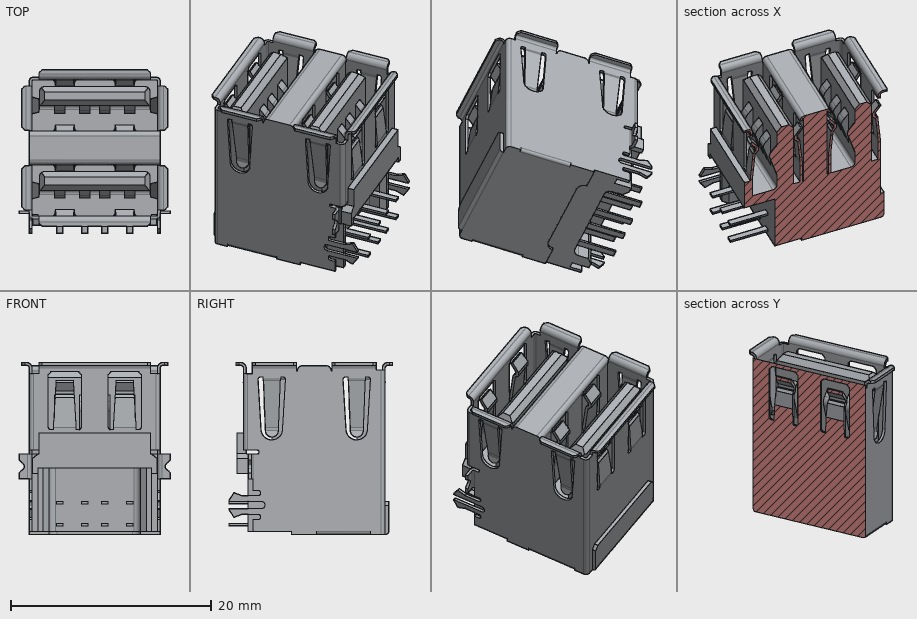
import cadquery as cq

SHEET = 0.3
HALF_WIDTH = 6.55
DEPTH = 14.15
HEIGHT = 17.2
CORNER_RADIUS = 0.43
PORT_PITCH = 8.48
INNER_HALF = HALF_WIDTH - SHEET

FLANGE_REACH = 0.74
FLANGE_RADIUS = 0.58
FLANGE_CHAMFER = 0.33
FLANGE_HALF_LENGTH = 5.57
WALL_TOP = HEIGHT - FLANGE_RADIUS
SIDE_FLANGE_FRONT = 0.88
SIDE_FLANGE_REAR = 13.28
FRONT_CORNER_TOP = 16.08
REAR_CORNER_TOP = 16.45

DIVIDER_FRONT = DEPTH - SHEET - PORT_PITCH
DIVIDER_REAR = SHEET + PORT_PITCH
DIVIDER_TOP = 16.87
DIVIDER_RADIUS = 0.52
RELIEF_GAP = 0.07
RELIEF_BOTTOM = 16.34

FRONT_WALL_BOTTOM = 8.43
SIDE_EDGE = 0.96
SLIT_END = 1.55
SLIT_RADIUS = 0.15
SLIT_BOTTOM = 8.07
BASE_FRONT = 4.78
BASE_CUT_HALF = 4.55
BASE_CUT_RADIUS = 0.77
BASE_CUT_DEPTH = 0.79
BASE_BEND = (7.31, 12.68)

TAB_HALF = 5.57
TAB_HEIGHT = 3.32
TAB_THICKNESS = 0.38
TAB_CHAMFER = 0.43
TAB_BEND_RADIUS = 0.36

EAR_BOTTOM = 5.55
EAR_TIP = 7.55
EAR_RADIUS = 0.45
EAR_NOTCH_HALF = 0.64
EAR_NOTCH_FLOOR = 0.2
EAR_NOTCH_DEPTH = 0.52
EAR_NOTCH_BULGE = 0.07

FORK_Z = 2.95
FORK_SLOT_HALF = 0.36
FORK_SLOT_END = 2.15
FORK_SLOT_RADIUS = 0.35
FORK_ARM_OUTER = 0.93
FORK_BARB_OUTER = 1.24
FORK_TIP_OUTER = 0.46
FORK_BARB_START = -0.1
FORK_BARB_PEAK = -0.95
NOTCH_HEIGHT = 0.52
NOTCH_END = 1.7
NOTCH_RADIUS = 0.2

FLOOR = SLIT_BOTTOM
BODY_FRONT = 0.45
CHEEK_OUTER = 5.68
CHEEK_INNER = 5.16
CHEEK_STEP = 2.24
RECESS_HALF = 4.55
RECESS_BEVEL_END = 0.95
RECESS_BACK = 2.67
RECESS_RADIUS = 0.64
LEDGE_FRONT = -0.65
LEDGE_HALF = 5.59
LEDGE_TOP = 10.17
LEDGE_BOTTOM = 6.67
LEDGE_OVERLAP = 0.07
LEG_OUTER = 6.2
LEG_BOTTOM = 6.09
LEG_SLOPE_TOP = 8.12
LEG_SLOPE_END = 7.62
CORE_GAP = 0.1

TONGUE_HALF = 5.52
TONGUE_FRONT = 2.85
TONGUE_REAR = 4.71
TONGUE_TOP = 16.27
TONGUE_CHAMFER = 0.52
TONGUE_FACE_BEVEL = 0.58
TONGUE_END_BEVEL = 0.74
TONGUE_CORNER = 0.48
TONGUE_FOOT = 0.41
CONTACT_X = (-3.5, -1.0, 1.0, 3.5)
CONTACT_WIDTH = 1.03
CONTACT_TOP = 13.93
CONTACT_BOTTOM = 9.98
CONTACT_SHOULDER = (2.32, 13.31)
CONTACT_CREST = (2.06, 12.65)
CONTACT_HEEL = (2.17, 12.3)

PIN_WIDTH = 0.62
PIN_THICKNESS = 0.24
PIN_TIP = -1.45
PIN_ROOT = RECESS_BACK + 0.17
PIN_Z = (1.0, 3.2)

SPRING_X = 3.0
WINDOW_HALF = 1.65
WINDOW_BOTTOM = 10.5
WINDOW_TOP = 16.27
WINDOW_CHAMFER = 0.31
WINDOW_RADIUS = 0.24
SPRING_ROOT = 10.72
SPRING_ROOT_HALF = 1.14
SPRING_TIP = 15.4
SPRING_TIP_HALF = 0.86
SPRING_REACH = 0.91
FACE_SPRING_PROFILE = [
    (0, WINDOW_BOTTOM),
    (0, SPRING_ROOT),
    (0.28, 13.69),
    (0.46, 13.98),
    (0.58, 14.05),
    (0.58, 14.36),
    (-0.05, 15.2),
    (0.19, SPRING_TIP),
    (SPRING_REACH, 14.43),
    (SPRING_REACH, 13.97),
    (0.55, 13.59),
    (SHEET, SPRING_ROOT),
    (SHEET, WINDOW_BOTTOM),
]

SIDE_SPRING_Y = 2.84
SIDE_WINDOW_TOP = 15.72
SIDE_WINDOW_HALF = 1.36
SIDE_WINDOW_SHOULDER = 15.45
SIDE_WINDOW_RADIUS = 0.2
SIDE_WINDOW_LOW_HALF = 1.07
SIDE_WINDOW_LOW = 10.53
SIDE_ROOT = 15.51
SIDE_BEND = 15.38
SIDE_BEND_DEPTH = 0.02
SIDE_ROOT_HALF = 0.9
SIDE_SPRING_HALF = 0.85
SIDE_TIP_HALF = 0.65
SIDE_TIP_Z = 10.39
SIDE_TIP_BOTTOM = SIDE_TIP_Z - SIDE_TIP_HALF
SIDE_SPRING_PROFILE = [
    (-HALF_WIDTH, SIDE_WINDOW_TOP),
    (-HALF_WIDTH, SIDE_ROOT),
    (SIDE_BEND_DEPTH - HALF_WIDTH, SIDE_BEND),
    (-5.87, 10.7),
    (-5.87, SIDE_TIP_Z),
    (-6.07, SIDE_TIP_BOTTOM),
    (-5.78, SIDE_TIP_BOTTOM),
    (-5.57, 10.32),
    (-5.57, 10.73),
    (SIDE_BEND_DEPTH - INNER_HALF, SIDE_BEND),
    (-INNER_HALF, SIDE_ROOT),
    (-INNER_HALF, SIDE_WINDOW_TOP),
]


def block(x, y, z):
    """Box from (low, high) pairs along each axis."""
    size = (x[1] - x[0], y[1] - y[0], z[1] - z[0])
    return cq.Workplane("XY").box(*size, centered=False).translate((x[0], y[0], z[0]))


def along_x(sketch, low, high):
    """Extrude a YZ profile from X = low to X = high."""
    return sketch.extrude(high - low).translate((low, 0, 0))


def along_y(sketch, low, high):
    """Extrude an XZ profile from Y = low to Y = high."""
    return sketch.extrude(low - high).translate((0, low, 0))


def both_sides(shape):
    return shape.union(shape.mirror("YZ"))


def both_ports(shape):
    return shape.union(shape.translate((0, PORT_PITCH, 0)))


def facing_walls(shape):
    """Copy a front-wall feature onto the wall facing it across the port, then to both ports."""
    opposite = shape.rotate((0, 0, 0), (0, 0, 1), 180).translate((0, DIVIDER_FRONT + SHEET, 0))
    return both_ports(shape.union(opposite))


def tube():
    outer = block((-HALF_WIDTH, HALF_WIDTH), (0, DEPTH), (0, WALL_TOP)).edges("|Z").fillet(CORNER_RADIUS)
    inner = block((-INNER_HALF, INNER_HALF), (SHEET, DEPTH - SHEET), (SHEET, WALL_TOP))
    shell = outer.cut(inner.edges("|Z").fillet(CORNER_RADIUS - SHEET))

    bend = cq.Workplane("XZ").moveTo(-HALF_WIDTH, 0).lineTo(SHEET - HALF_WIDTH, 0)
    bend = bend.radiusArc((-HALF_WIDTH, SHEET), SHEET).close()
    shell = shell.cut(both_sides(along_y(bend, *BASE_BEND)))

    full = (-HALF_WIDTH, HALF_WIDTH)
    shell = shell.cut(block(full, (0, SIDE_EDGE), (0, FRONT_WALL_BOTTOM)))
    shell = shell.cut(block(full, (0, BASE_FRONT), (0, SHEET)))
    base_cut = block((-BASE_CUT_HALF, BASE_CUT_HALF), (0, BASE_FRONT + BASE_CUT_DEPTH), (0, SHEET))
    shell = shell.cut(base_cut.edges("|Z and >Y").fillet(BASE_CUT_RADIUS))
    slit = block(full, (0, SLIT_END), (SLIT_BOTTOM, FRONT_WALL_BOTTOM))
    return shell.cut(slit.edges("|X and >Y").fillet(SLIT_RADIUS))


def mouth_cuts():
    """Lowered corners, and room for the divider between the side flanges."""
    full = (-HALF_WIDTH, HALF_WIDTH)
    middle = (DIVIDER_FRONT - RELIEF_GAP, DIVIDER_REAR + RELIEF_GAP)
    cuts = block(full, middle, (RELIEF_BOTTOM, HEIGHT))
    corner_x = (-HALF_WIDTH, -FLANGE_HALF_LENGTH)
    cuts = cuts.union(both_sides(block(corner_x, (0, SIDE_FLANGE_FRONT), (FRONT_CORNER_TOP, HEIGHT))))
    return cuts.union(both_sides(block(corner_x, (SIDE_FLANGE_REAR, DEPTH), (REAR_CORNER_TOP, HEIGHT))))


def flange(length):
    """Flare on a wall whose outer face is Y = 0, leaning toward -Y, centred on X = 0."""
    inner_radius = FLANGE_RADIUS - SHEET
    profile = (
        cq.Workplane("YZ")
        .moveTo(0, WALL_TOP)
        .lineTo(SHEET, WALL_TOP)
        .radiusArc((SHEET - FLANGE_RADIUS, HEIGHT), -FLANGE_RADIUS)
        .lineTo(-FLANGE_REACH, HEIGHT)
        .lineTo(-FLANGE_REACH, HEIGHT - SHEET)
        .lineTo(-inner_radius, HEIGHT - SHEET)
        .radiusArc((0, WALL_TOP), inner_radius)
        .close()
    )
    flare = along_x(profile, -length / 2, length / 2)
    return flare.edges("|Z").edges("<Y").chamfer(FLANGE_CHAMFER)


def flanges():
    front = flange(2 * FLANGE_HALF_LENGTH)
    rear = front.rotate((0, 0, 0), (0, 0, 1), 180).translate((0, DEPTH, 0))
    shape = front.union(rear)
    spans = (
        (SIDE_FLANGE_FRONT, DIVIDER_FRONT - RELIEF_GAP),
        (DIVIDER_REAR + RELIEF_GAP, SIDE_FLANGE_REAR),
    )
    for low, high in spans:
        side = flange(high - low).rotate((0, 0, 0), (0, 0, 1), -90)
        shape = shape.union(both_sides(side.translate((-HALF_WIDTH, (low + high) / 2, 0))))
    return shape


def divider():
    outer = block((-HALF_WIDTH, HALF_WIDTH), (DIVIDER_FRONT, DIVIDER_REAR), (FLOOR, DIVIDER_TOP))
    outer = outer.edges("|X and >Z").fillet(DIVIDER_RADIUS)
    hollow = block(
        (-INNER_HALF, INNER_HALF),
        (DIVIDER_FRONT + SHEET, DIVIDER_REAR - SHEET),
        (FLOOR, DIVIDER_TOP - SHEET),
    )
    return outer.cut(hollow.edges("|X and >Z").fillet(DIVIDER_RADIUS - SHEET))


def rear_tab():
    tab = block((-TAB_HALF, TAB_HALF), (DEPTH, DEPTH + TAB_THICKNESS), (0, TAB_HEIGHT))
    tab = tab.edges("|Y and >Z").chamfer(TAB_CHAMFER)
    return tab.edges("|X and <Z and >Y").fillet(TAB_BEND_RADIUS)


def ears():
    centre_x = -INNER_HALF - EAR_RADIUS
    inner_radius = EAR_RADIUS - SHEET
    front = SIDE_EDGE - EAR_RADIUS
    ear = (
        cq.Workplane("XY")
        .moveTo(-HALF_WIDTH, SIDE_EDGE)
        .lineTo(-INNER_HALF, SIDE_EDGE)
        .radiusArc((centre_x, front), EAR_RADIUS)
        .lineTo(-EAR_TIP, front)
        .lineTo(-EAR_TIP, front + SHEET)
        .lineTo(centre_x, front + SHEET)
        .radiusArc((-HALF_WIDTH, SIDE_EDGE), -inner_radius)
        .close()
        .extrude(SLIT_BOTTOM - EAR_BOTTOM)
        .translate((0, 0, EAR_BOTTOM))
    )
    middle = (EAR_BOTTOM + SLIT_BOTTOM) / 2
    bottom_x = EAR_NOTCH_DEPTH - EAR_NOTCH_BULGE - EAR_TIP
    notch = (
        cq.Workplane("XZ")
        .moveTo(-EAR_TIP, middle + EAR_NOTCH_HALF)
        .lineTo(bottom_x, middle + EAR_NOTCH_FLOOR)
        .threePointArc((bottom_x + EAR_NOTCH_BULGE, middle), (bottom_x, middle - EAR_NOTCH_FLOOR))
        .lineTo(-EAR_TIP, middle - EAR_NOTCH_HALF)
        .close()
    )
    return both_sides(ear.cut(along_y(notch, 0, SIDE_EDGE)))


def fork_arm(side):
    """One barbed arm above (side = 1) or below (side = -1) the fork axis."""
    points = [
        (SIDE_EDGE, FORK_SLOT_HALF),
        (PIN_TIP, FORK_SLOT_HALF),
        (PIN_TIP, FORK_TIP_OUTER),
        (FORK_BARB_PEAK, FORK_BARB_OUTER),
        (FORK_BARB_START, FORK_ARM_OUTER),
        (SIDE_EDGE, FORK_ARM_OUTER),
    ]
    profile = cq.Workplane("YZ").polyline([(y, FORK_Z + side * z) for y, z in points]).close()
    return along_x(profile, -HALF_WIDTH, -INNER_HALF)


def fork_notches():
    wall = (-HALF_WIDTH, -INNER_HALF)
    slot = block(wall, (0, FORK_SLOT_END), (FORK_Z - FORK_SLOT_HALF, FORK_Z + FORK_SLOT_HALF))
    notches = slot.edges("|X and >Y").fillet(FORK_SLOT_RADIUS)
    for base in (FORK_Z + FORK_ARM_OUTER, FORK_Z - FORK_ARM_OUTER - NOTCH_HEIGHT):
        notch = block(wall, (0, NOTCH_END), (base, base + NOTCH_HEIGHT))
        notches = notches.union(notch.edges("|X and >Y").fillet(NOTCH_RADIUS))
    return both_sides(notches)


def face_windows():
    window = block((-WINDOW_HALF, WINDOW_HALF), (0, SHEET), (WINDOW_BOTTOM, WINDOW_TOP))
    window = window.edges("|Y and >Z").chamfer(WINDOW_CHAMFER)
    window = window.edges("|Y and <Z").fillet(WINDOW_RADIUS)
    return facing_walls(both_sides(window.translate((-SPRING_X, 0, 0))))


def face_springs():
    """Tabs rising from the window sill, bowed into the port."""
    profile = cq.Workplane("YZ").polyline(FACE_SPRING_PROFILE).close()
    strip = along_x(profile, -SPRING_ROOT_HALF, SPRING_ROOT_HALF)
    outline = cq.Workplane("XZ").polyline([
        (-SPRING_ROOT_HALF, WINDOW_BOTTOM),
        (SPRING_ROOT_HALF, WINDOW_BOTTOM),
        (SPRING_ROOT_HALF, SPRING_ROOT),
        (SPRING_TIP_HALF, SPRING_TIP),
        (-SPRING_TIP_HALF, SPRING_TIP),
        (-SPRING_ROOT_HALF, SPRING_ROOT),
    ]).close()
    spring = strip.intersect(along_y(outline, -SHEET, SPRING_REACH))
    return facing_walls(both_sides(spring.translate((-SPRING_X, 0, 0))))


def side_windows():
    bottom = SIDE_WINDOW_LOW - SIDE_WINDOW_LOW_HALF
    outline = (
        cq.Workplane("YZ")
        .moveTo(-SIDE_WINDOW_HALF, SIDE_WINDOW_SHOULDER)
        .lineTo(-SIDE_WINDOW_LOW_HALF, SIDE_WINDOW_LOW)
        .threePointArc((0, bottom), (SIDE_WINDOW_LOW_HALF, SIDE_WINDOW_LOW))
        .lineTo(SIDE_WINDOW_HALF, SIDE_WINDOW_SHOULDER)
        .lineTo(SIDE_WINDOW_HALF, SIDE_WINDOW_TOP)
        .lineTo(-SIDE_WINDOW_HALF, SIDE_WINDOW_TOP)
        .close()
    )
    window = along_x(outline, -HALF_WIDTH, -INNER_HALF).edges("|X and >Z").fillet(SIDE_WINDOW_RADIUS)
    return both_ports(both_sides(window.translate((0, SIDE_SPRING_Y, 0))))


def side_springs():
    """Tabs hanging from the top of the side windows, leaning into the port."""
    profile = cq.Workplane("XZ").polyline(SIDE_SPRING_PROFILE).close()
    strip = along_y(profile, -SIDE_ROOT_HALF, SIDE_ROOT_HALF)
    outline = (
        cq.Workplane("YZ")
        .moveTo(-SIDE_TIP_HALF, SIDE_TIP_Z)
        .threePointArc((0, SIDE_TIP_BOTTOM), (SIDE_TIP_HALF, SIDE_TIP_Z))
        .lineTo(SIDE_SPRING_HALF, SIDE_BEND)
        .lineTo(SIDE_ROOT_HALF, SIDE_ROOT)
        .lineTo(SIDE_ROOT_HALF, SIDE_WINDOW_TOP)
        .lineTo(-SIDE_ROOT_HALF, SIDE_WINDOW_TOP)
        .lineTo(-SIDE_ROOT_HALF, SIDE_ROOT)
        .lineTo(-SIDE_SPRING_HALF, SIDE_BEND)
        .close()
    )
    spring = strip.intersect(along_x(outline, -HALF_WIDTH, 0))
    return both_ports(both_sides(spring.translate((0, SIDE_SPRING_Y, 0))))


def insulator_body():
    body = block((-INNER_HALF, INNER_HALF), (BODY_FRONT, DEPTH - SHEET), (SHEET, FLOOR))
    step = block((-INNER_HALF, -CHEEK_OUTER), (BODY_FRONT, CHEEK_STEP), (SHEET, LEG_BOTTOM))
    body = body.cut(both_sides(step))

    recess = block((-RECESS_HALF, RECESS_HALF), (BODY_FRONT, RECESS_BACK), (SHEET, LEDGE_BOTTOM))
    recess = recess.edges("|Z and >Y").fillet(RECESS_RADIUS)
    mouth = (
        cq.Workplane("XY")
        .polyline([
            (-CHEEK_INNER, BODY_FRONT),
            (CHEEK_INNER, BODY_FRONT),
            (RECESS_HALF, RECESS_BEVEL_END),
            (-RECESS_HALF, RECESS_BEVEL_END),
        ])
        .close()
        .extrude(LEDGE_BOTTOM - SHEET)
        .translate((0, 0, SHEET))
    )
    return body.cut(recess).cut(mouth)


def ledge():
    half_outline = [
        (0, LEDGE_TOP),
        (LEDGE_HALF, LEDGE_TOP),
        (LEDGE_HALF, LEG_SLOPE_TOP),
        (LEG_OUTER, LEG_SLOPE_END),
        (LEG_OUTER, LEG_BOTTOM),
        (CHEEK_OUTER, LEG_BOTTOM),
        (CHEEK_OUTER, LEDGE_BOTTOM),
        (0, LEDGE_BOTTOM),
    ]
    profile = cq.Workplane("XZ").polyline(half_outline).close()
    bar = both_sides(along_y(profile, LEDGE_FRONT, BODY_FRONT + LEDGE_OVERLAP))
    bar = bar.cut(block((-HALF_WIDTH, HALF_WIDTH), (0, DEPTH), (FRONT_WALL_BOTTOM, HEIGHT)))
    return bar.cut(block((-HALF_WIDTH, HALF_WIDTH), (SHEET, DEPTH), (FLOOR, HEIGHT)))


def divider_core():
    """Insulator inside the divider, set back from the spring windows."""
    setback = SHEET + CORE_GAP
    return block(
        (-INNER_HALF, INNER_HALF),
        (DIVIDER_FRONT + setback, DIVIDER_REAR - setback),
        (FLOOR, DIVIDER_TOP - SHEET),
    )


def bevelled(low, high, bevel):
    """Upright section from low to high with both top corners bevelled."""
    return [
        (low, FLOOR),
        (high, FLOOR),
        (high, TONGUE_TOP - bevel),
        (high - TONGUE_CHAMFER, TONGUE_TOP),
        (low + TONGUE_CHAMFER, TONGUE_TOP),
        (low, TONGUE_TOP - bevel),
    ]


def tongues():
    tongue = block((-TONGUE_HALF, TONGUE_HALF), (TONGUE_FRONT, TONGUE_REAR), (FLOOR, TONGUE_TOP))
    tongue = tongue.edges("|Z and >Y").fillet(TONGUE_CORNER)
    across = cq.Workplane("YZ").polyline(bevelled(TONGUE_FRONT, TONGUE_REAR, TONGUE_FACE_BEVEL)).close()
    tongue = tongue.intersect(along_x(across, -TONGUE_HALF, TONGUE_HALF))
    along = cq.Workplane("XZ").polyline(bevelled(-TONGUE_HALF, TONGUE_HALF, TONGUE_END_BEVEL)).close()
    tongue = tongue.intersect(along_y(along, TONGUE_FRONT, TONGUE_REAR))
    foot = (
        cq.Workplane("YZ")
        .moveTo(TONGUE_FRONT, FLOOR)
        .lineTo(TONGUE_FRONT, FLOOR + TONGUE_FOOT)
        .radiusArc((TONGUE_FRONT - TONGUE_FOOT, FLOOR), TONGUE_FOOT)
        .close()
    )
    return both_ports(tongue.union(along_x(foot, -TONGUE_HALF, TONGUE_HALF)))


def contacts():
    """Bowed contacts on the front face of each tongue."""
    profile = (
        cq.Workplane("YZ")
        .moveTo(TONGUE_FRONT, CONTACT_TOP)
        .lineTo(*CONTACT_SHOULDER)
        .threePointArc(CONTACT_CREST, CONTACT_HEEL)
        .lineTo(TONGUE_FRONT, CONTACT_BOTTOM)
        .close()
    )
    contact = along_x(profile, -CONTACT_WIDTH / 2, CONTACT_WIDTH / 2)
    row = contact.translate((CONTACT_X[0], 0, 0))
    for x in CONTACT_X[1:]:
        row = row.union(contact.translate((x, 0, 0)))
    return both_ports(row)


def pins():
    pin = cq.Workplane("XY").box(PIN_WIDTH, PIN_ROOT - PIN_TIP, PIN_THICKNESS)
    pin = pin.translate((0, (PIN_TIP + PIN_ROOT) / 2, 0))
    places = [(x, 0, z) for x in CONTACT_X for z in PIN_Z]
    shape = pin.translate(places[0])
    for place in places[1:]:
        shape = shape.union(pin.translate(place))
    return shape


shell = tube().cut(mouth_cuts()).union(flanges()).union(divider())
shell = shell.cut(face_windows()).cut(side_windows()).cut(fork_notches())
shell = shell.union(face_springs()).union(side_springs())
shell = shell.union(rear_tab()).union(ears())
shell = shell.union(both_sides(fork_arm(1).union(fork_arm(-1))))

insulator = insulator_body().union(ledge()).union(divider_core()).union(tongues())
insulator = insulator.union(contacts()).union(pins())

result = shell.union(insulator)